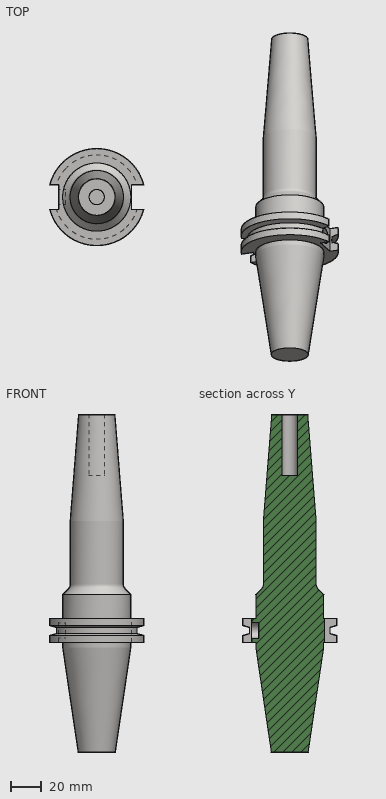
import cadquery as cq
import math

total_length = 220.6
taper_length = 68.5
taper_small_radius = 12.1
collar_radius = 22.3

flange_radius = 31.8
flange_bottom = taper_length + 3.3
flange_thickness = 15.9
flange_top = flange_bottom + flange_thickness
flange_middle = flange_bottom + flange_thickness / 2
groove_floor_radius = 27.5
groove_floor_width = 4.0
groove_mouth_width = 6.5

collar_top = 103.3
neck_radius = 17.5
neck_blend_radius = 4.0
nose_length = 69.7
nose_bottom = total_length - nose_length
nose_tip_radius = 12.0

slot_width = 16.0
left_slot_floor = 25.0
right_slot_floor = 22.7

tool_bore_diameter = 10.0
tool_bore_depth = 39.7
slot_hole_diameter = 10.0
slot_hole_depth = 4.6


def make_body():
    """Revolve the half profile, drawn as (radius, height), about Z."""
    blend_center_radius = neck_radius + neck_blend_radius
    diagonal = neck_blend_radius * math.sqrt(0.5)
    shoulder_top_radius = blend_center_radius - diagonal
    shoulder_top = collar_top + collar_radius - shoulder_top_radius
    blend_top = shoulder_top + diagonal
    blend_mid_angle = math.radians(22.5)
    blend_middle = (
        blend_center_radius - neck_blend_radius * math.cos(blend_mid_angle),
        blend_top - neck_blend_radius * math.sin(blend_mid_angle),
    )
    profile = (
        cq.Workplane("XZ")
        .moveTo(0, 0)
        .lineTo(taper_small_radius, 0)
        .lineTo(collar_radius, taper_length)
        .lineTo(collar_radius, flange_bottom)
        .lineTo(flange_radius, flange_bottom)
        .lineTo(flange_radius, flange_middle - groove_mouth_width / 2)
        .lineTo(groove_floor_radius, flange_middle - groove_floor_width / 2)
        .lineTo(groove_floor_radius, flange_middle + groove_floor_width / 2)
        .lineTo(flange_radius, flange_middle + groove_mouth_width / 2)
        .lineTo(flange_radius, flange_top)
        .lineTo(collar_radius, flange_top)
        .lineTo(collar_radius, collar_top)
        .lineTo(shoulder_top_radius, shoulder_top)
        .threePointArc(blend_middle, (neck_radius, blend_top))
        .lineTo(neck_radius, nose_bottom)
        .lineTo(nose_tip_radius, total_length)
        .lineTo(0, total_length)
        .close()
    )
    return profile.revolve(360, (0, 0, 0), (0, 1, 0))


def make_drive_slot(side, floor_distance):
    """Cutter through the flange, from the slot floor out past the rim on one X side."""
    slot_depth = flange_radius - floor_distance
    center_x = side * (floor_distance + slot_depth)
    return (
        cq.Workplane("XY", origin=(center_x, 0, flange_middle))
        .box(2 * slot_depth, slot_width, flange_thickness)
    )


def make_tool_bore():
    return (
        cq.Workplane("XY", origin=(0, 0, total_length))
        .circle(tool_bore_diameter / 2)
        .extrude(-tool_bore_depth)
    )


def make_slot_hole():
    """Blind round hole in the floor of the -X drive slot."""
    return (
        cq.Workplane("YZ", origin=(-left_slot_floor, 0, flange_middle))
        .circle(slot_hole_diameter / 2)
        .extrude(slot_hole_depth)
    )


result = (
    make_body()
    .cut(make_drive_slot(-1, left_slot_floor))
    .cut(make_drive_slot(1, right_slot_floor))
    .cut(make_tool_bore())
    .cut(make_slot_hole())
)